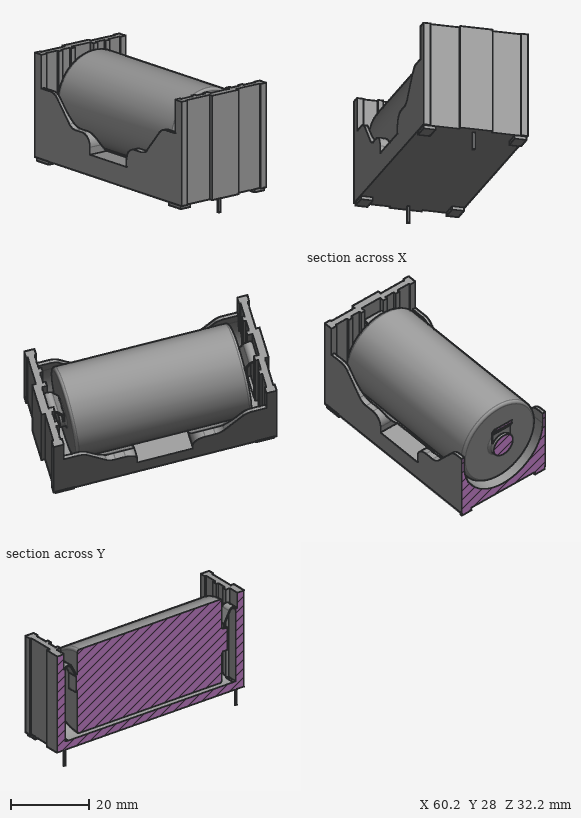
import cadquery as cq
import math

PAD_LENGTH = 60.2
CORNER_LENGTH = 59.1
RECESS_LENGTH = 58.3
BODY_WIDTH = 27.95
BODY_HEIGHT = 27.75
PAD_HALF_WIDTH = 4.35
RECESS_HALF_WIDTH = 12.1

AXIS_HEIGHT = 15.5
CAVITY_RADIUS = 13.0
CAVITY_FLOOR = AXIS_HEIGHT - CAVITY_RADIUS
POST_FACE_X = 26.85
WALL_FACE_X = 27.3
POST_INNER_Y = 12.2

RIB_FACE_X = 26.55
OUTER_RIB_Y = (7.1, 8.4)
SLOT_HALF_WIDTH = 3.1
SLOT_FACE_X = 27.9

SHOULDER_HEIGHT = 18.8
SHOULDER_X = 21.55
SILL_HEIGHT = 10.8
SILL_X = 14.7
WINDOW_HEIGHT = 5.55
WINDOW_HALF_LENGTH = 7.35
CUTOUT_RADIUS = 3.2

FOOT_LENGTH = 4.9
FOOT_WIDTH = 3.2
FOOT_HEIGHT = 0.9
FOOT_OUTER_X = 28.95
FOOT_OUTER_Y = 13.8

SPRING_TOP = 24.15
SPRING_WIDTH = 5.8
SPRING_THICKNESS = 0.5
SPRING_BEND_RADIUS = 1.4
SPRING_SLOPE = math.radians(62)
SPRING_TIP_X = 23.55
PIN_LENGTH = 4.5
PIN_THICKNESS = 0.6
PIN_WIDTH = 0.6

CELL_RADIUS = 12.1
CELL_LEFT_X = -23.05
CELL_RIGHT_X = 23.6
CELL_EDGE_RADIUS = 0.8
TERMINAL_RADIUS = 3.25
TERMINAL_LENGTH = 1.75
TERMINAL_FLARE = 0.6

SIDES = (-1, 1)


def block(x_range, y_range, z_range):
    """Box between two limits on each axis, given in either order."""
    spans = [sorted(limits) for limits in (x_range, y_range, z_range)]
    sizes = [high - low for low, high in spans]
    corner = tuple(low for low, high in spans)
    return cq.Workplane("XY").box(*sizes, centered=False).translate(corner)


def trough(half_length, half_width):
    """Round-bottomed cavity volume, limited to a half width in Y."""
    profile = (
        cq.Workplane("YZ", origin=(-half_length, 0, 0))
        .moveTo(-CAVITY_RADIUS, BODY_HEIGHT)
        .lineTo(-CAVITY_RADIUS, AXIS_HEIGHT)
        .threePointArc((0, CAVITY_FLOOR), (CAVITY_RADIUS, AXIS_HEIGHT))
        .lineTo(CAVITY_RADIUS, BODY_HEIGHT)
        .close()
    )
    limit = block((-half_length, half_length), (-half_width, half_width), (0, BODY_HEIGHT))
    return profile.extrude(2 * half_length).intersect(limit)


def make_shell():
    """Outer block with stepped end walls, hollowed by the cavity."""
    shell = cq.Workplane("XY")
    for length, width in (
        (CORNER_LENGTH, BODY_WIDTH),
        (PAD_LENGTH, 2 * PAD_HALF_WIDTH),
    ):
        shell = shell.union(
            cq.Workplane("XY").box(length, width, BODY_HEIGHT, centered=(True, True, False))
        )
    for end in SIDES:
        for side in SIDES:
            recess = block(
                (end * RECESS_LENGTH / 2, end * PAD_LENGTH / 2),
                (side * PAD_HALF_WIDTH, side * RECESS_HALF_WIDTH),
                (0, BODY_HEIGHT),
            )
            shell = shell.cut(recess)
    shell = shell.cut(trough(POST_FACE_X, CAVITY_RADIUS))
    return shell.cut(trough(WALL_FACE_X, POST_INNER_Y))


def cut_side_walls(body):
    """Lower both long walls to sloped shoulders with a finger window."""
    half_outline = [
        (POST_FACE_X, BODY_HEIGHT),
        (POST_FACE_X, SHOULDER_HEIGHT),
        (SHOULDER_X, SHOULDER_HEIGHT),
        (SILL_X, SILL_HEIGHT),
        (WINDOW_HALF_LENGTH, SILL_HEIGHT),
        (WINDOW_HALF_LENGTH, WINDOW_HEIGHT),
    ]
    mirrored = [(-x, z) for x, z in reversed(half_outline)]
    cutout = (
        cq.Workplane("XZ", origin=(0, BODY_WIDTH / 2, 0))
        .polyline(half_outline + mirrored)
        .close()
        .extrude(BODY_WIDTH)
    )
    rounded_band = cq.selectors.BoxSelector(
        (-POST_FACE_X / 2 - SHOULDER_X / 2, -BODY_WIDTH, (WINDOW_HEIGHT + SILL_HEIGHT) / 2),
        (POST_FACE_X / 2 + SHOULDER_X / 2, BODY_WIDTH, (SHOULDER_HEIGHT + BODY_HEIGHT) / 2),
    )
    cutout = cutout.edges("|Y").edges(rounded_band).fillet(CUTOUT_RADIUS)
    return body.cut(cutout)


def add_ribs_and_slots(body):
    """Vertical guide ribs on the end walls, with a spring slot between the middle pair."""
    heights = (CAVITY_FLOOR, BODY_HEIGHT)
    for end in SIDES:
        for side in SIDES:
            for inner_y, outer_y in (OUTER_RIB_Y, (SLOT_HALF_WIDTH, PAD_HALF_WIDTH)):
                rib = block(
                    (end * RIB_FACE_X, end * SLOT_FACE_X),
                    (side * inner_y, side * outer_y),
                    heights,
                )
                body = body.union(rib)
        slot = block(
            (end * RIB_FACE_X, end * SLOT_FACE_X),
            (-SLOT_HALF_WIDTH, SLOT_HALF_WIDTH),
            heights,
        )
        body = body.cut(slot)
    return body


def add_feet(body):
    """Four standoff feet under the corners."""
    for end in SIDES:
        for side in SIDES:
            foot = block(
                (end * FOOT_OUTER_X, end * (FOOT_OUTER_X - FOOT_LENGTH)),
                (side * FOOT_OUTER_Y, side * (FOOT_OUTER_Y - FOOT_WIDTH)),
                (-FOOT_HEIGHT, 0),
            )
            body = body.union(foot)
    return body


def make_contact():
    """Spring strip and solder pin for the -X end."""
    bend_x = -SLOT_FACE_X + SPRING_BEND_RADIUS
    bend_z = SPRING_TOP - SPRING_BEND_RADIUS
    inner_radius = SPRING_BEND_RADIUS - SPRING_THICKNESS
    slope_normal = math.pi / 2 - SPRING_SLOPE

    def on_bend(radius, angle):
        return bend_x + radius * math.cos(angle), bend_z + radius * math.sin(angle)

    def slope_end(start, x):
        return x, start[1] - (x - start[0]) * math.tan(SPRING_SLOPE)

    def under_bend(radius, tip_x):
        """Solid between one face of the strip, the back leg and the cavity floor."""
        back_x = bend_x - radius
        tangent = on_bend(radius, slope_normal)
        return (
            cq.Workplane("XZ", origin=(0, SPRING_WIDTH / 2, 0))
            .moveTo(back_x, CAVITY_FLOOR)
            .lineTo(back_x, bend_z)
            .threePointArc(on_bend(radius, math.pi / 2), tangent)
            .lineTo(*slope_end(tangent, tip_x))
            .lineTo(tip_x, CAVITY_FLOOR)
            .close()
            .extrude(SPRING_WIDTH)
        )

    outer = under_bend(SPRING_BEND_RADIUS, -SPRING_TIP_X)
    inner = under_bend(inner_radius, -SPRING_TIP_X - SPRING_THICKNESS)
    below_tip = block(
        (bend_x, -SPRING_TIP_X),
        (-SPRING_WIDTH / 2, SPRING_WIDTH / 2),
        (CAVITY_FLOOR, AXIS_HEIGHT),
    )
    strip = outer.cut(inner).cut(below_tip)
    pin = block(
        (-SLOT_FACE_X, -SLOT_FACE_X + PIN_THICKNESS),
        (-PIN_WIDTH / 2, PIN_WIDTH / 2),
        (-PIN_LENGTH, CAVITY_FLOOR),
    )
    return strip.union(pin)


def make_cell():
    """Round cell along X with a raised, flared terminal on its -X end."""
    cell = (
        cq.Workplane("YZ", origin=(CELL_LEFT_X, 0, AXIS_HEIGHT))
        .circle(CELL_RADIUS)
        .extrude(CELL_RIGHT_X - CELL_LEFT_X)
        .edges()
        .fillet(CELL_EDGE_RADIUS)
    )
    terminal_profile = (
        cq.Workplane("XY", origin=(CELL_LEFT_X, 0, AXIS_HEIGHT))
        .lineTo(0, TERMINAL_RADIUS + TERMINAL_FLARE)
        .radiusArc((-TERMINAL_FLARE, TERMINAL_RADIUS), TERMINAL_FLARE)
        .lineTo(-TERMINAL_LENGTH, TERMINAL_RADIUS)
        .lineTo(-TERMINAL_LENGTH, 0)
        .close()
    )
    return cell.union(terminal_profile.revolve(360, (0, 0, 0), (1, 0, 0)))


holder = add_feet(add_ribs_and_slots(cut_side_walls(make_shell())))
left_contact = make_contact()
right_contact = left_contact.mirror("YZ")
result = holder.union(left_contact).union(right_contact).union(make_cell())